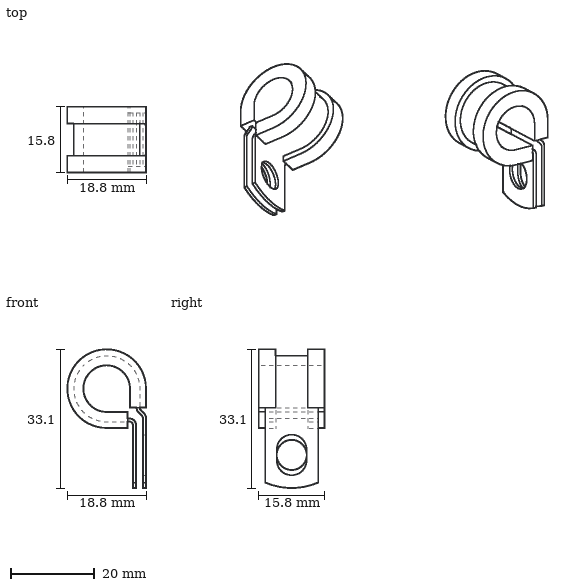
import cadquery as cq
import math

total_width = 15.75
total_height = 33.15
outer_radius = 9.42
bore_radius = 5.55
flange_width = 4.05
groove_radius = 7.9
upper_end_z = -4.5
lower_end_x = 4.97

strip_thickness = 0.8
bend_inner_radius = 0.8
bend_outer_radius = bend_inner_radius + strip_thickness
strip_radius = groove_radius - strip_thickness
tab_width = 12.75
tab_tip_rise = 1.33
tab_bottom_z = outer_radius - total_height
near_tab_outer_x = 7.03
far_tab_outer_x = outer_radius
hole_diameter = 7.13
slot_length = 9.68
hole_z = -15.82

SIN45 = math.sin(math.radians(45))


def extrude_centered(outline, width):
    """Extrude an XZ outline by half the width to each side of Y = 0."""
    return outline.extrude(width / 2, both=True)


def loop(radius, width):
    """Three-quarter ring with one leg running down and one running sideways."""
    outline = (
        cq.Workplane("XZ")
        .moveTo(radius, upper_end_z)
        .lineTo(radius, 0)
        .threePointArc((-radius * SIN45, radius * SIN45), (0, -radius))
        .lineTo(lower_end_x, -radius)
        .lineTo(lower_end_x, -bore_radius)
        .lineTo(0, -bore_radius)
        .threePointArc((-bore_radius * SIN45, bore_radius * SIN45), (bore_radius, 0))
        .lineTo(bore_radius, upper_end_z)
        .close()
    )
    return extrude_centered(outline, width)


def cushion():
    """Loop with a wide groove between its two flanges."""
    groove_width = total_width - 2 * flange_width
    body = loop(groove_radius, groove_width)
    flange_offset = (total_width - flange_width) / 2
    for side in (-1, 1):
        body = body.union(loop(outer_radius, flange_width).translate((0, side * flange_offset, 0)))
    return body


def near_tab():
    """Strip leaving the sideways leg and turning straight down."""
    bend_x = near_tab_outer_x - bend_outer_radius
    bend_z = -strip_radius - bend_outer_radius
    inner_x = near_tab_outer_x - strip_thickness
    outer_mid = (bend_x + bend_outer_radius * SIN45, bend_z + bend_outer_radius * SIN45)
    inner_mid = (bend_x + bend_inner_radius * SIN45, bend_z + bend_inner_radius * SIN45)
    outline = (
        cq.Workplane("XZ")
        .moveTo(lower_end_x, -strip_radius)
        .lineTo(bend_x, -strip_radius)
        .threePointArc(outer_mid, (near_tab_outer_x, bend_z))
        .lineTo(near_tab_outer_x, tab_bottom_z)
        .lineTo(inner_x, tab_bottom_z)
        .lineTo(inner_x, bend_z)
        .threePointArc(inner_mid, (bend_x, -groove_radius))
        .lineTo(lower_end_x, -groove_radius)
        .close()
    )
    return extrude_centered(outline, tab_width)


def far_tab():
    """Strip leaving the downward leg and jogging outward at 45 degrees."""
    jog = far_tab_outer_x - groove_radius
    bend_radius_sum = bend_inner_radius + bend_outer_radius
    bend_shift = bend_radius_sum * (1 - SIN45)
    jog_height = bend_radius_sum * SIN45 + jog - bend_shift
    lower_z = upper_end_z - jog_height
    upper_center_x = groove_radius + bend_inner_radius
    lower_center_x = far_tab_outer_x - bend_outer_radius
    inner_x = far_tab_outer_x - strip_thickness

    def upper_point(radius, degrees):
        angle = math.radians(degrees)
        return (upper_center_x - radius * math.cos(angle), upper_end_z - radius * math.sin(angle))

    def lower_point(radius, degrees):
        angle = math.radians(degrees)
        return (lower_center_x + radius * math.cos(angle), lower_z + radius * math.sin(angle))

    outline = (
        cq.Workplane("XZ")
        .moveTo(groove_radius, upper_end_z)
        .threePointArc(upper_point(bend_inner_radius, 22.5), upper_point(bend_inner_radius, 45))
        .lineTo(*lower_point(bend_outer_radius, 45))
        .threePointArc(lower_point(bend_outer_radius, 22.5), (far_tab_outer_x, lower_z))
        .lineTo(far_tab_outer_x, tab_bottom_z)
        .lineTo(inner_x, tab_bottom_z)
        .lineTo(inner_x, lower_z)
        .threePointArc(lower_point(bend_inner_radius, 22.5), lower_point(bend_inner_radius, 45))
        .lineTo(*upper_point(bend_outer_radius, 45))
        .threePointArc(upper_point(bend_outer_radius, 22.5), (strip_radius, upper_end_z))
        .close()
    )
    return extrude_centered(outline, tab_width)


def tab_blank():
    """Side outline shared by both tabs, with an arched bottom edge."""
    half_width = tab_width / 2
    corner_z = tab_bottom_z + tab_tip_rise
    return (
        cq.Workplane("YZ")
        .moveTo(-half_width, 0)
        .lineTo(-half_width, corner_z)
        .threePointArc((0, tab_bottom_z), (half_width, corner_z))
        .lineTo(half_width, 0)
        .close()
        .extrude(far_tab_outer_x)
    )


def near_hole():
    """Round bolt hole through the near tab."""
    return cq.Workplane("YZ").center(0, hole_z).circle(hole_diameter / 2).extrude(far_tab_outer_x)


def far_slot():
    """Upright bolt slot through the far tab, as wide as the round hole."""
    return cq.Workplane("YZ").center(0, hole_z).slot2D(slot_length, hole_diameter, 90).extrude(far_tab_outer_x)


blank = tab_blank()
near = near_tab().intersect(blank).cut(near_hole())
far = far_tab().intersect(blank).cut(far_slot())
result = cushion().union(near).union(far)